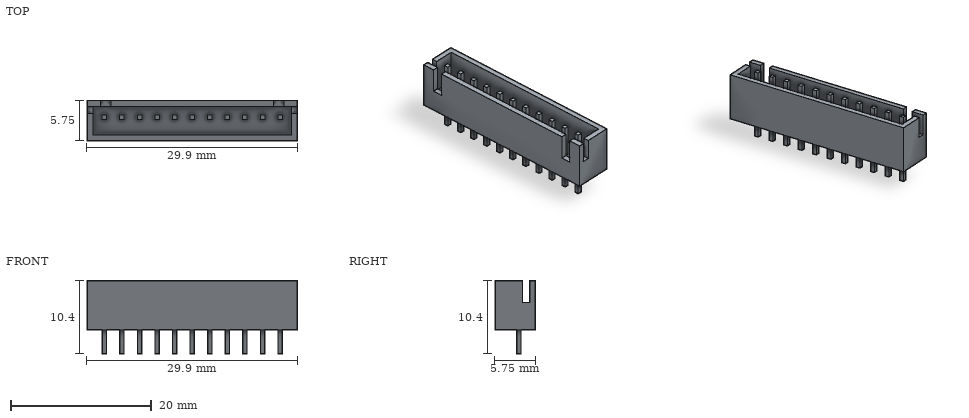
import cadquery as cq

pin_count = 11
pin_pitch = 2.5
pin_size = 0.64
pin_tail = 3.4
pin_top_z = 6.8
row_length = (pin_count - 1) * pin_pitch

end_margin = 2.45
housing_length = row_length + 2 * end_margin
housing_depth = 5.75
housing_height = 7.0
wall = 0.83
floor_thickness = 2.0
pin_row_to_front = 3.375

end_x = housing_length / 2
inner_end_x = end_x - wall
front_y = -pin_row_to_front
back_y = front_y + housing_depth
inner_front_y = front_y + wall
inner_back_y = back_y - wall

end_slot_width = 1.0
end_slot_depth = 3.1
back_slot_width = 1.5
back_slot_depth = 3.7
back_slot_offset = 1.9


def block(x_range, y_range, z_range):
    """Axis-aligned box between the given (low, high) limits."""
    x_low, x_high = x_range
    y_low, y_high = y_range
    z_low, z_high = z_range
    box = cq.Workplane("XY").box(x_high - x_low, y_high - y_low, z_high - z_low, centered=False)
    return box.translate((x_low, y_low, z_low))


def make_housing():
    """Box with a cavity open at the top."""
    shell = block((-end_x, end_x), (front_y, back_y), (0, housing_height))
    cavity = block(
        (-inner_end_x, inner_end_x),
        (inner_front_y, inner_back_y),
        (floor_thickness, housing_height),
    )
    return shell.cut(cavity)


def cut_end_slots(housing):
    """Slot through both end walls, against the inside of the back wall."""
    slot = block(
        (-end_x, end_x),
        (inner_back_y - end_slot_width, inner_back_y),
        (housing_height - end_slot_depth, housing_height),
    )
    return housing.cut(slot)


def cut_back_slots(housing):
    """Slot through the back wall near each end."""
    slot_outer_x = end_x - back_slot_offset
    slot_inner_x = slot_outer_x - back_slot_width
    for x_range in ((-slot_outer_x, -slot_inner_x), (slot_inner_x, slot_outer_x)):
        slot = block(
            x_range,
            (inner_back_y, back_y),
            (housing_height - back_slot_depth, housing_height),
        )
        housing = housing.cut(slot)
    return housing


def add_pins(housing):
    """Row of pins running through the floor, with tails below the housing."""
    half_pin = pin_size / 2
    for index in range(pin_count):
        x = index * pin_pitch - row_length / 2
        pin = block(
            (x - half_pin, x + half_pin),
            (-half_pin, half_pin),
            (-pin_tail, pin_top_z),
        )
        housing = housing.union(pin)
    return housing


housing_with_slots = cut_back_slots(cut_end_slots(make_housing()))
result = add_pins(housing_with_slots)